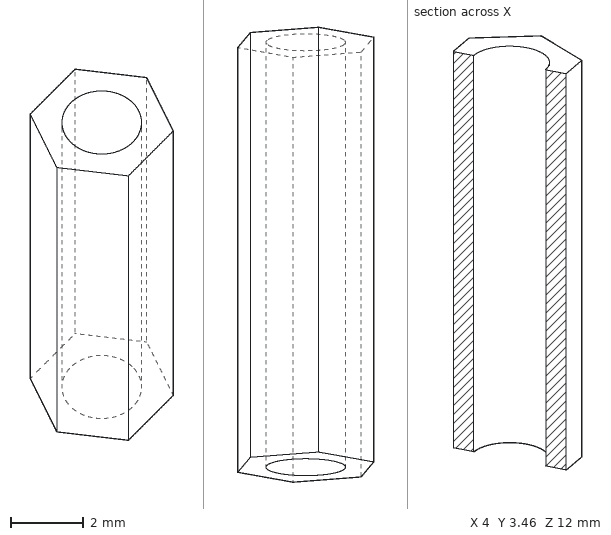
import cadquery as cq

length = 12.0
corner_width = 4.0
bore_diameter = 2.2

hex_body = cq.Workplane("XY").polygon(6, corner_width).extrude(length)
result = hex_body.faces(">Z").workplane().hole(bore_diameter)